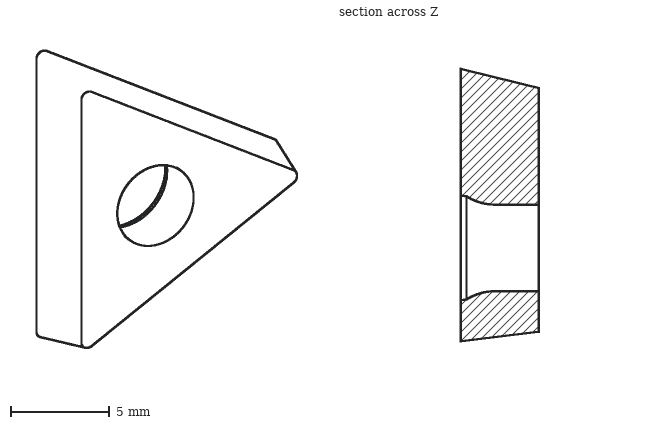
import cadquery as cq
import math

thickness = 3.98
height = 15.91
corner_radius = 0.4
relief_angle = 7.0

mouth_radius = 2.65
seat_radius = 2.63
bore_radius = 2.2
mouth_depth = 0.29
bore_start = 1.75

large_inradius = corner_radius + (height / 2 - corner_radius) / math.sqrt(3)
small_inradius = large_inradius - thickness * math.tan(math.radians(relief_angle))


def rounded_triangle(x, inradius):
    """Closed outline of a rounded equilateral triangle in the plane at x."""
    centre_distance = 2 * (inradius - corner_radius)
    arcs = []
    for corner_angle in (90, 210, 330):
        corner = math.radians(corner_angle)
        arc_points = []
        for turn in (-60, 0, 60):
            direction = math.radians(corner_angle + turn)
            arc_points.append(cq.Vector(
                x,
                centre_distance * math.sin(corner) + corner_radius * math.sin(direction),
                centre_distance * math.cos(corner) + corner_radius * math.cos(direction),
            ))
        arcs.append(arc_points)
    edges = []
    for index, arc_points in enumerate(arcs):
        next_arc = arcs[(index + 1) % len(arcs)]
        edges.append(cq.Edge.makeThreePointArc(*arc_points))
        edges.append(cq.Edge.makeLine(arc_points[-1], next_arc[0]))
    return cq.Wire.assembleEdges(edges)


def tapered_body():
    large_outline = rounded_triangle(0, large_inradius)
    small_outline = rounded_triangle(thickness, small_inradius)
    return cq.Workplane(cq.Solid.makeLoft([large_outline, small_outline], True))


def screw_hole():
    """Revolved hole profile; its seat arc is tangent to the bore."""
    return (
        cq.Workplane("XY")
        .moveTo(thickness, 0)
        .lineTo(thickness, bore_radius)
        .lineTo(bore_start, bore_radius)
        .tangentArcPoint((mouth_depth, seat_radius), relative=False)
        .lineTo(0, mouth_radius)
        .lineTo(0, 0)
        .close()
        .revolve(360, (0, 0, 0), (1, 0, 0))
    )


result = tapered_body().cut(screw_hole())